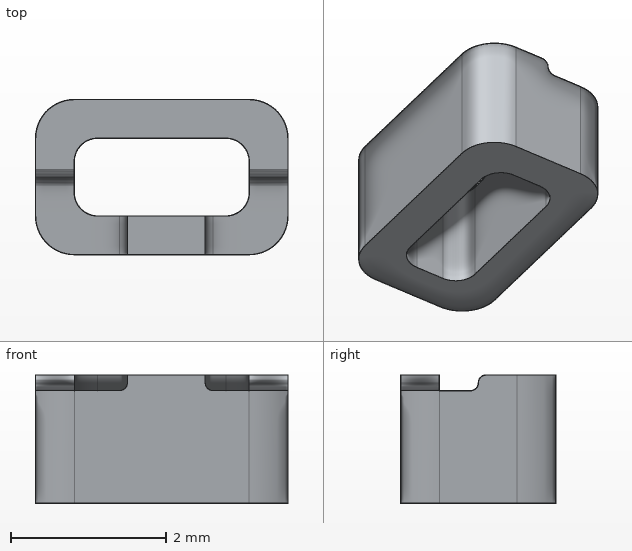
import cadquery as cq

length = 3.25
width = 2.0
height = 1.65
wall = 0.5
outer_radius = 0.5
inner_radius = 0.3

step_depth = 0.2
step_radius = step_depth / 2

tab_width = 1.0
tab_center_x = 0.06

step_z = height - step_depth
middle_z = height - step_radius
front_y = -width / 2


def rounded_block(size_x, size_y, corner_radius):
    """Upright block standing on Z = 0 with rounded vertical edges."""
    block = cq.Workplane("XY").rect(size_x, size_y).extrude(height)
    return block.edges("|Z").fillet(corner_radius)


def ring():
    outer = rounded_block(length, width, outer_radius)
    opening = rounded_block(length - 2 * wall, width - 2 * wall, inner_radius)
    return outer.cut(opening)


def rim_cut():
    """Material above the lowered front half, ending in an S-shaped step at Y = 0."""
    return (
        cq.Workplane("YZ", origin=(-length / 2, 0, 0))
        .moveTo(front_y, step_z)
        .lineTo(-step_radius, step_z)
        .radiusArc((0, middle_z), -step_radius)
        .radiusArc((step_radius, height), step_radius)
        .lineTo(front_y, height)
        .close()
        .extrude(length)
    )


def tab():
    """Upright tab flush with the front wall, with concave fillets at its foot."""
    left = tab_center_x - tab_width / 2
    right = tab_center_x + tab_width / 2
    return (
        cq.Workplane("XZ", origin=(0, front_y + wall, 0))
        .moveTo(left - step_radius, step_z)
        .radiusArc((left, middle_z), -step_radius)
        .lineTo(left, height)
        .lineTo(right, height)
        .lineTo(right, middle_z)
        .radiusArc((right + step_radius, step_z), -step_radius)
        .close()
        .extrude(wall)
    )


result = ring().cut(rim_cut()).union(tab())